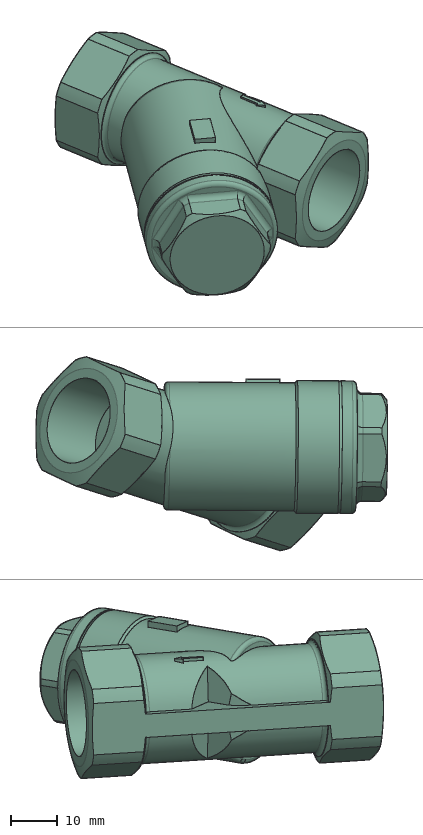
import cadquery as cq
import math


pipe_length = 65.0
pipe_radius = 23.5 / 2
bore_radius = 18.7 / 2
bore_depth = 15.0

hex_length = 12.5
hex_flats = 26.15
hex_corner_radius = 14.3
hex_face_radius = 11.5
hex_chamfer = 0.75
shoulder_radius = 12.35
neck_fillet = 0.95

branch_x = 24.7
branch_radius = 13.75
branch_start = 1.3
branch_edge_fillet = 0.95
sleeve_radius = 28.5 / 2
sleeve_start = 29.2
sleeve_step = sleeve_radius - branch_radius
joint_position = 39.2
joint_bevel_length = 0.6
joint_bevel_depth = 0.2

flange_thickness = 3.3
flange_fillet = 1.0
cap_height = 9.8
cap_hex_flats = 21.0
cap_hex_corner_radius = 23.5 / 2
cap_base_fillet = 1.3
cap_face_radius = 10.2
cap_chamfer = 1.3

web_half_thickness = 2.6
pocket_tip = (37.5, 6.7)
pocket_left_corner = (34.0, 10.3)
pocket_run_out_start = (28.0, 11.55)
pocket_run_out_middle = (31.3, 11.1)
pocket_draft = 5.0

pad_start, pad_end = 18.8, 26.1
pad_left, pad_right = -1.35, 3.15
pad_top = 14.75
arrow_tail_x, arrow_neck_x, arrow_tip_x = 37.9, 42.45, 44.25
arrow_y = 3.5
arrow_shaft_width = 0.8
arrow_head_width = 1.95

branch_frame = cq.Plane(origin=(branch_x, 0, 0), xDir=(1, 1, 0), normal=(1, -1, 0))


def laid_along_branch(shape):
    return cq.Workplane(shape.val().moved(cq.Location(branch_frame)))


def turned_upright(points):
    """Solid of revolution about Z, from (radius, height) points."""
    return cq.Workplane("XZ").polyline(points).close().revolve(360, (0, 0, 0), (0, 1, 0))


def across_corners(flats):
    return flats / math.cos(math.pi / 6)


def pipe_end():
    """Hexagonal end at the left of the pipe, with its neck fillet."""
    prism = (
        cq.Workplane("YZ")
        .polygon(6, across_corners(hex_flats))
        .extrude(hex_length)
        .rotate((0, 0, 0), (1, 0, 0), 90)
    )
    envelope = (
        cq.Workplane("XY")
        .polyline([
            (0, 0),
            (0, hex_face_radius),
            (hex_chamfer, hex_corner_radius),
            (hex_length - hex_chamfer, hex_corner_radius),
            (hex_length, shoulder_radius),
            (hex_length, 0),
        ])
        .close()
        .revolve(360, (0, 0, 0), (1, 0, 0))
    )
    fillet_end = hex_length + neck_fillet
    fillet_top = pipe_radius + neck_fillet
    fillet_start = hex_length - hex_chamfer / 2
    fillet = (
        cq.Workplane("XY")
        .moveTo(fillet_start, 0)
        .lineTo(fillet_start, fillet_top)
        .lineTo(hex_length, fillet_top)
        .radiusArc((fillet_end, pipe_radius), -neck_fillet)
        .lineTo(fillet_end, 0)
        .close()
        .revolve(360, (0, 0, 0), (1, 0, 0))
    )
    return prism.intersect(envelope).union(fillet)


def mirrored_along_pipe(shape):
    return shape.mirror("YZ", (pipe_length / 2, 0, 0))


def branch():
    """Inclined cylinder with the wider sleeve that carries the cap."""
    sleeve_full = sleeve_start + sleeve_step
    tube = (
        cq.Workplane("XY", origin=(0, 0, branch_start))
        .circle(branch_radius)
        .extrude(sleeve_full - branch_start)
        .edges("<Z")
        .fillet(branch_edge_fillet)
    )
    sleeve = turned_upright([
        (0, sleeve_start),
        (branch_radius, sleeve_start),
        (sleeve_radius, sleeve_full),
        (sleeve_radius, joint_position - joint_bevel_length),
        (sleeve_radius - joint_bevel_depth, joint_position),
        (0, joint_position),
    ])
    return laid_along_branch(tube.union(sleeve))


def web():
    """Flat rib along the back of the pipe, flush with the hexagon flats."""
    length = pipe_length - 2 * (hex_length - hex_chamfer)
    return (
        cq.Workplane("XY")
        .box(length, hex_flats / 2, 2 * web_half_thickness)
        .translate((pipe_length / 2, hex_flats / 4, 0))
    )


def relief_pocket():
    """V-shaped pocket above the web with drafted walls, and a curved run-out beside it."""
    back = hex_flats / 2
    tip_x, tip_y = pocket_tip
    depth = pipe_radius - web_half_thickness
    flare = depth * math.tan(math.radians(pocket_draft)) * math.sqrt(2)

    def right_angle_corner(y):
        reach = back - y
        return [(tip_x, y), (tip_x + reach, back), (tip_x - reach, back)]

    corner_x = pocket_left_corner[0]
    floor = cq.Workplane("XY", origin=(0, 0, web_half_thickness))
    vee = (
        floor.polyline(right_angle_corner(tip_y))
        .close()
        .workplane(offset=depth)
        .polyline(right_angle_corner(tip_y - flare))
        .close()
        .loft(ruled=True)
    )
    run_out_x = pocket_run_out_start[0]
    run_out = (
        floor.moveTo(*pocket_run_out_start)
        .threePointArc(pocket_run_out_middle, pocket_left_corner)
        .lineTo(corner_x, back)
        .lineTo(run_out_x, back)
        .close()
        .extrude(depth)
    )
    return vee.union(run_out)


def marking_pad():
    """Plain raised pad on top of the branch."""
    pad = (
        cq.Workplane("XY")
        .box(pad_right - pad_left, pad_top, pad_end - pad_start, centered=False)
        .translate((pad_left, 0, pad_start))
    )
    return laid_along_branch(pad)


def flow_arrow():
    """Raised arrow on top of the pipe, pointing downstream."""
    shaft = arrow_shaft_width / 2
    head = arrow_head_width / 2
    return (
        cq.Workplane("XY", origin=(0, arrow_y, 0))
        .polyline([
            (arrow_tail_x, -shaft),
            (arrow_neck_x, -shaft),
            (arrow_neck_x, -head),
            (arrow_tip_x, 0),
            (arrow_neck_x, head),
            (arrow_neck_x, shaft),
            (arrow_tail_x, shaft),
        ])
        .close()
        .extrude(pipe_radius)
    )


def make_housing():
    pipe = (
        cq.Workplane("YZ", origin=(hex_length, 0, 0))
        .circle(pipe_radius)
        .extrude(pipe_length - 2 * hex_length)
    )
    pocket = relief_pocket()
    pipe = pipe.cut(pocket).cut(pocket.mirror("XY"))
    bore = cq.Workplane("YZ").circle(bore_radius).extrude(bore_depth)
    end = pipe_end()
    return (
        pipe.union(web())
        .union(branch())
        .union(end)
        .union(mirrored_along_pipe(end))
        .union(marking_pad())
        .union(flow_arrow())
        .cut(bore)
        .cut(mirrored_along_pipe(bore))
    )


def make_cap():
    flange = (
        cq.Workplane("XY")
        .circle(sleeve_radius)
        .extrude(flange_thickness)
        .edges(">Z")
        .fillet(flange_fillet)
    )
    prism = cq.Workplane("XY").polygon(6, across_corners(cap_hex_flats)).extrude(cap_height)
    envelope = turned_upright([
        (0, 0),
        (cap_hex_corner_radius, 0),
        (cap_hex_corner_radius, cap_height - cap_chamfer),
        (cap_face_radius, cap_height),
        (0, cap_height),
    ])
    head = prism.intersect(envelope)
    reach = cap_hex_corner_radius + cap_base_fillet / 2
    around_base = cq.selectors.BoxSelector(
        (-reach, -reach, flange_thickness - flange_fillet / 2),
        (reach, reach, flange_thickness + flange_fillet / 2),
        boundingbox=True,
    )
    cap = flange.union(head).edges(around_base).fillet(cap_base_fillet)
    return laid_along_branch(cap.translate((0, 0, joint_position)))


housing = make_housing()
cap = make_cap()
result = cq.Compound.makeCompound([housing.val(), cap.val()])